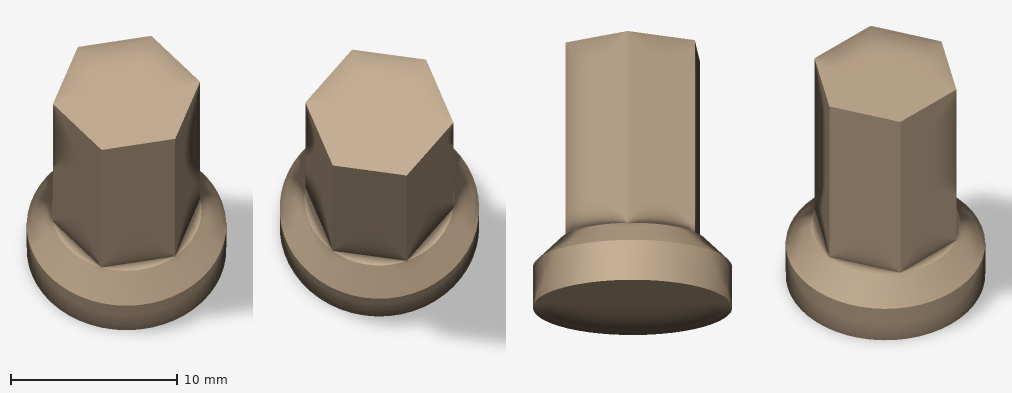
import cadquery as cq

total_height = 16.0
flange_diameter = 12.0
flange_height = 4.0
flange_chamfer = flange_diameter / 8

hex_corner_diameter = flange_diameter - 2 * flange_chamfer
hex_height = total_height - flange_height

flange = (
    cq.Workplane("XY")
    .circle(flange_diameter / 2)
    .extrude(flange_height)
    .faces(">Z")
    .chamfer(flange_chamfer)
)

shank = (
    cq.Workplane("XY")
    .workplane(offset=flange_height)
    .transformed(rotate=(0, 0, 90))
    .polygon(6, hex_corner_diameter)
    .extrude(hex_height)
)

result = flange.union(shank)